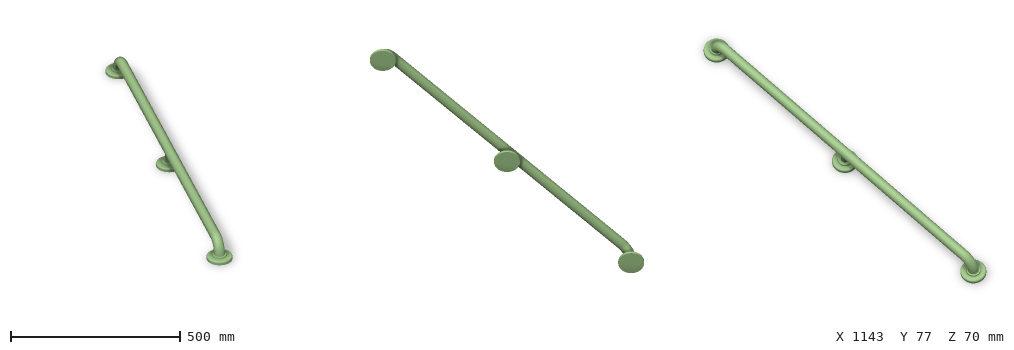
import cadquery as cq

length = 1143.0
height = 70.0

rail_diameter = 32.0
rail_radius = rail_diameter / 2
bend_radius = 41.0
rail_z = height - rail_radius
bend_base_z = rail_z - bend_radius

flange_diameter = 77.0
flange_radius = flange_diameter / 2
shoulder_height = 11.0
shoulder_rounding = 5.0
collar_height = 16.0
collar_radius = 22.0
collar_chamfer = 1.0

post_diameter = 23.0

flange_x = length / 2 - flange_radius
bend_end_x = flange_x - bend_radius


def make_flange(x):
    """Stepped round flange standing on the base plane."""
    profile = (
        cq.Workplane("XZ")
        .lineTo(flange_radius, 0)
        .lineTo(flange_radius, shoulder_height - shoulder_rounding)
        .radiusArc((flange_radius - shoulder_rounding, shoulder_height), -shoulder_rounding)
        .lineTo(collar_radius, shoulder_height)
        .lineTo(collar_radius - collar_chamfer, collar_height)
        .lineTo(0, collar_height)
        .close()
    )
    return profile.revolve(360, (0, 0, 0), (0, 1, 0)).translate((x, 0, 0))


def make_bend():
    """Quarter bend from the left flange up to the straight tube."""
    return (
        cq.Workplane("XY", origin=(-flange_x, 0, bend_base_z))
        .circle(rail_radius)
        .revolve(90, (bend_radius, 0, 0), (bend_radius, 1, 0))
    )


straight_tube = (
    cq.Workplane("YZ", origin=(-bend_end_x, 0, rail_z))
    .circle(rail_radius)
    .extrude(2 * bend_end_x)
)
left_bend = make_bend()
right_bend = left_bend.mirror("YZ")
post = cq.Workplane("XY").circle(post_diameter / 2).extrude(rail_z)

result = straight_tube.union(left_bend).union(right_bend).union(post)
for x in (-flange_x, 0, flange_x):
    result = result.union(make_flange(x))